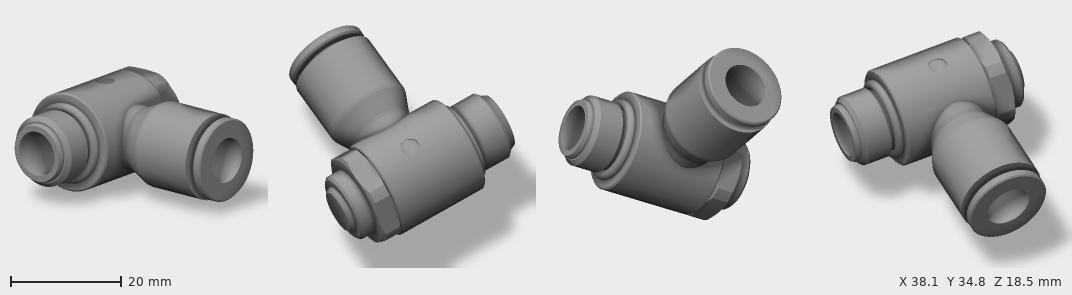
import cadquery as cq
import math


LENGTH_X = 38.1

BODY_DIAMETER = 18.5
BODY_RADIUS = BODY_DIAMETER / 2
BODY_REAR_Y = 7.5
BODY_FRONT_Y = -10.45
BODY_CHAMFER = 0.25

HEX_ACROSS_FLATS = 17.0
HEX_REAR_Y = 11.5
HEX_CHAMFER_ANGLE = 30

COLLAR_RADIUS = 6.48
COLLAR_REAR_Y = 14.52
COLLAR_CHAMFER = 0.5
SCREW_BASE_RADIUS = 4.6
SCREW_LOWER_RADIUS = 4.5
SCREW_UPPER_RADIUS = 4.25
SCREW_TOP_RADIUS = 3.95
SCREW_REAR_Y = 15.55

SEAL_RADIUS = 6.67
SEAL_SECTION_RADIUS = 0.88
SEAL_Y = -10.98

THREAD_RADIUS = 6.65
THREAD_NECK_RADIUS = 5.83
THREAD_REAR_Y = -12.7
THREAD_FRONT_Y = -17.35
THREAD_CHAMFER = THREAD_RADIUS - THREAD_NECK_RADIUS
TIP_RADIUS = 5.53
TIP_STEP_Y = -18.6
TIP_END_RADIUS = 5.25
TIP_FRONT_Y = -19.25

NECK_RADIUS = 6.1
CONE_START_X = 9.68
CONE_END_X = 13.9
CONE_BLEND_RADIUS = 1.52
SOCKET_RADIUS = 8.0
SOCKET_END_X = 25.8

SLEEVE_RADIUS = 5.65
FLANGE_RADIUS = 7.75
FLANGE_START_X = 27.1
FLANGE_END_X = LENGTH_X - BODY_RADIUS
FLANGE_INNER_CHAMFER = 0.35
FLANGE_OUTER_CHAMFER = 0.25

BORE_RADIUS = 4.2
BADGE_RADIUS = 1.75
BADGE_DEPTH = 0.3


def cylinder_y(radius, start_y, end_y):
    """Cylinder on the Y axis from start_y to the smaller end_y."""
    plane = cq.Workplane("XZ", origin=(0, start_y, 0))
    return plane.circle(radius).extrude(start_y - end_y)


def cylinder_x(radius, start_x, end_x):
    """Cylinder on the X axis."""
    plane = cq.Workplane("YZ", origin=(start_x, 0, 0))
    return plane.circle(radius).extrude(end_x - start_x)


def turned_y(profile):
    """Turn (radius, y) points, closed along the Y axis, about that axis."""
    start_y = profile[0][1]
    end_y = profile[-1][1]
    points = [(0, start_y), *profile, (0, end_y)]
    return cq.Workplane("XY").polyline(points).close().revolve(360, (0, 0), (0, 1))


def banjo_body():
    return cylinder_y(BODY_RADIUS, BODY_REAR_Y, BODY_FRONT_Y).edges("%CIRCLE").chamfer(BODY_CHAMFER)


def hexagon():
    """Hexagon with flats facing +Z and -Z, trimmed by a chamfered disc."""
    flat_radius = HEX_ACROSS_FLATS / 2
    corner_diameter = HEX_ACROSS_FLATS / math.cos(math.pi / 6)
    drop = (BODY_RADIUS - flat_radius) * math.tan(math.radians(HEX_CHAMFER_ANGLE))
    prism = (
        cq.Workplane("XZ", origin=(0, HEX_REAR_Y, 0))
        .polygon(6, corner_diameter)
        .extrude(HEX_REAR_Y - BODY_REAR_Y)
    )
    disc = turned_y([
        (flat_radius, HEX_REAR_Y),
        (BODY_RADIUS, HEX_REAR_Y - drop),
        (BODY_RADIUS, BODY_REAR_Y + drop),
        (flat_radius, BODY_REAR_Y),
    ])
    return prism.intersect(disc)


def collar_and_screw():
    """Chamfered collar topped by a screw end of three equally tall cones."""
    collar = cylinder_y(COLLAR_RADIUS, COLLAR_REAR_Y, HEX_REAR_Y).edges(">Y").chamfer(COLLAR_CHAMFER)
    cone_height = (SCREW_REAR_Y - COLLAR_REAR_Y) / 3
    screw = turned_y([
        (SCREW_TOP_RADIUS, SCREW_REAR_Y),
        (SCREW_UPPER_RADIUS, SCREW_REAR_Y - cone_height),
        (SCREW_LOWER_RADIUS, COLLAR_REAR_Y + cone_height),
        (SCREW_BASE_RADIUS, COLLAR_REAR_Y),
    ])
    return collar.union(screw)


def seal_ring():
    section = cq.Workplane("XY").center(SEAL_RADIUS, SEAL_Y).circle(SEAL_SECTION_RADIUS)
    return section.revolve(360, (-SEAL_RADIUS, 0), (-SEAL_RADIUS, 1))


def threaded_end():
    return turned_y([
        (THREAD_NECK_RADIUS, BODY_FRONT_Y),
        (THREAD_NECK_RADIUS, THREAD_REAR_Y + THREAD_CHAMFER),
        (THREAD_RADIUS, THREAD_REAR_Y),
        (THREAD_RADIUS, THREAD_FRONT_Y),
        (THREAD_NECK_RADIUS, THREAD_FRONT_Y - THREAD_CHAMFER),
        (TIP_RADIUS, THREAD_FRONT_Y - THREAD_CHAMFER),
        (TIP_RADIUS, TIP_STEP_Y),
        (TIP_END_RADIUS, TIP_FRONT_Y),
    ])


def tube_socket():
    """Neck, blended cone and socket, turned about the X axis."""
    outline = [
        (0, 0),
        (0, NECK_RADIUS),
        (CONE_START_X, NECK_RADIUS),
        (CONE_END_X, SOCKET_RADIUS),
        (SOCKET_END_X, SOCKET_RADIUS),
        (SOCKET_END_X, 0),
    ]
    socket = cq.Workplane("XY").polyline(outline).close().revolve(360, (0, 0), (1, 0))
    margin = 0.4
    cone_ends = cq.selectors.BoxSelector(
        (CONE_START_X - margin, -SOCKET_RADIUS - margin, -SOCKET_RADIUS - margin),
        (CONE_END_X + margin, SOCKET_RADIUS + margin, SOCKET_RADIUS + margin),
    )
    return socket.edges("%CIRCLE").edges(cone_ends).fillet(CONE_BLEND_RADIUS)


def release_sleeve():
    sleeve = cylinder_x(SLEEVE_RADIUS, SOCKET_END_X, FLANGE_START_X)
    flange = (
        cylinder_x(FLANGE_RADIUS, FLANGE_START_X, FLANGE_END_X)
        .edges("<X").chamfer(FLANGE_INNER_CHAMFER)
        .edges(">X").chamfer(FLANGE_OUTER_CHAMFER)
    )
    return sleeve.union(flange)


def flow_passage():
    """Bore from the threaded end to the sleeve with a round elbow at the origin."""
    inlet = cylinder_y(BORE_RADIUS, 0, TIP_FRONT_Y)
    outlet = cylinder_x(BORE_RADIUS, 0, FLANGE_END_X)
    return inlet.union(outlet).union(cq.Workplane("XY").sphere(BORE_RADIUS))


def badge_recess():
    """Flat-bottomed round recess at the crown of the body."""
    floor_z = BODY_RADIUS - BADGE_DEPTH
    return cq.Workplane("XY").workplane(offset=floor_z).circle(BADGE_RADIUS).extrude(2 * BADGE_DEPTH)


result = (
    banjo_body()
    .union(hexagon())
    .union(collar_and_screw())
    .union(threaded_end())
    .union(seal_ring())
    .union(tube_socket())
    .union(release_sleeve())
    .cut(flow_passage())
    .cut(badge_recess())
)